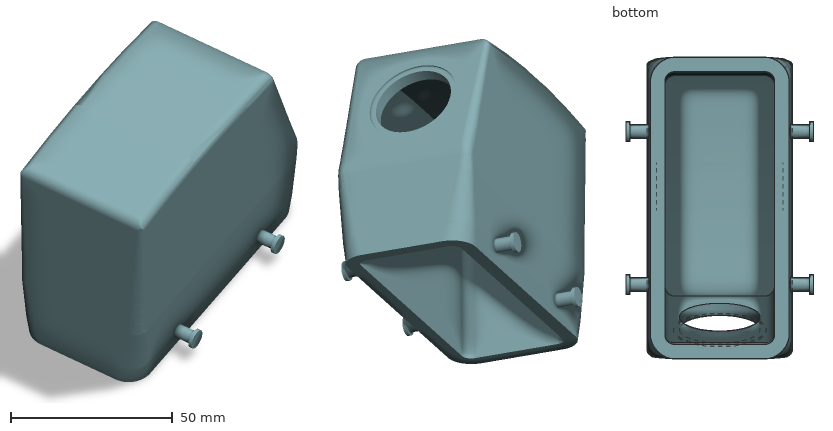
import cadquery as cq
import math


HALF_LENGTH = 46.65
END_DRAFT = 1.0
CROWN_TOP = 75.66
CROWN_RADIUS = 300.0
CROWN_Y = -6.5

RIM_Z = 0.0
SKIRT_Z = 6.7
WAIST_Z = 23.3
RIM_HALF_WIDTH = 21.45
SKIRT_HALF_WIDTH = 22.0
WAIST_HALF_WIDTH = 22.55
RIM_CORNER = 7.8
SKIRT_CORNER = 6.5
FRONT_WAIST_CORNER = 3.9
REAR_WAIST_CORNER = 3.6
KNEE_CORNER = 2.8
TOP_CORNER = 1.5

KNEE_Z = 30.5
SLOPE_ANGLE = 20.0
KNEE_RADIUS = 10.0
ROOF_RADIUS = 3.0
REAR_ROOF_RADIUS = 1.5

WALL = 4.5
CAVITY_CORNER = 3.0

ENTRY_Y = 37.95
ENTRY_DIAMETER = 25.0
RECESS_DIAMETER = 28.8
RECESS_DEPTH = 0.5

PEG_SPAN = 58.0
PEG_SPACING = 47.3
PEG_Z = 6.1
PEG_DIAMETER = 4.3
PEG_HEAD_DIAMETER = 6.2
PEG_HEAD_THICKNESS = 1.2

CORNER_STEPS = 20
MATCH_TOLERANCE = 0.01
SLOPE_TAN = math.tan(math.radians(SLOPE_ANGLE))
DIAGONAL = math.sqrt(0.5)


def half_length(z):
    """Half length in Y of the drafted hood at height z."""
    return HALF_LENGTH - z * math.tan(math.radians(END_DRAFT))


def slope_y(z):
    """Y of the sloped rear face at height z."""
    return half_length(KNEE_Z) - (z - KNEE_Z) * SLOPE_TAN


def crown_z(y, inset=0.0):
    """Height of the roof arch, or of an arch lying inset below it."""
    radius = CROWN_RADIUS - inset
    return CROWN_TOP - CROWN_RADIUS + math.sqrt(radius**2 - (y - CROWN_Y) ** 2)


def front_roof_corner(inset):
    """Y and Z where the front wall meets the roof arch."""
    z = CROWN_TOP
    for _ in range(CORNER_STEPS):
        y = inset - half_length(z)
        z = crown_z(y, inset)
    return y, z


def rear_roof_corner(inset):
    """Y and Z where the sloped face meets the roof arch."""
    normal_shift = inset / math.cos(math.radians(SLOPE_ANGLE))
    z = CROWN_TOP
    for _ in range(CORNER_STEPS):
        y = slope_y(z) - normal_shift
        z = crown_z(y, inset)
    return y, z


def side_profile(base_z, inset=0.0):
    """Closed Y-Z outline of the hood above base_z, moved inward by inset."""
    bend = math.radians(SLOPE_ANGLE - END_DRAFT)
    knee_z = KNEE_Z - inset * math.tan(bend / 2)
    return (
        cq.Workplane("YZ")
        .moveTo(inset - half_length(base_z), base_z)
        .lineTo(half_length(base_z) - inset, base_z)
        .lineTo(half_length(knee_z) - inset, knee_z)
        .lineTo(*rear_roof_corner(inset))
        .threePointArc((CROWN_Y, CROWN_TOP - inset), front_roof_corner(inset))
        .close()
    )


def starts_at_lower_end(maker, contour):
    """True when a fillet contour starts at its lower end."""
    first = cq.Vertex(maker.FirstVertex(contour))
    last = cq.Vertex(maker.LastVertex(contour))
    return first.Z < last.Z


def taper_corners(solid, edges, radii):
    """Round upright corner chains; radii has a (lower, upper) pair for each edge of a chain."""
    maker = cq.occ_impl.shapes.BRepFilletAPI_MakeFillet(solid.wrapped)
    for edge in edges:
        maker.Add(edge.wrapped)
    for contour in range(1, maker.NbContours() + 1):
        starts_low = starts_at_lower_end(maker, contour)
        ordered = radii if starts_low else [pair[::-1] for pair in reversed(radii)]
        for position, (first_radius, last_radius) in enumerate(ordered, start=1):
            maker.SetRadius(first_radius, last_radius, contour, position)
    return cq.Shape.cast(maker.Shape()).Solids()[0]


def waist_corners(solid, side):
    """Upright flank edges that rise from the waist at the front (side -1) or rear (side 1)."""
    return [
        edge
        for edge in solid.Edges()
        if abs(edge.BoundingBox().zmin - WAIST_Z) < MATCH_TOLERANCE
        and edge.BoundingBox().zlen > MATCH_TOLERANCE
        and edge.Center().y * side > 0
    ]


def rounded_corner_block():
    """Side outline extruded across the hood, with tapering rounds on its four upright corners."""
    block = side_profile(WAIST_Z).extrude(WAIST_HALF_WIDTH, both=True)
    knee = cq.selectors.NearestToPointSelector((0, half_length(KNEE_Z), KNEE_Z))
    solid = block.edges(knee).fillet(KNEE_RADIUS).val()
    front_radii = [(FRONT_WAIST_CORNER, TOP_CORNER)]
    rear_radii = [
        (REAR_WAIST_CORNER, KNEE_CORNER),
        (KNEE_CORNER, KNEE_CORNER),
        (KNEE_CORNER, TOP_CORNER),
    ]
    solid = taper_corners(solid, waist_corners(solid, -1), front_radii)
    solid = taper_corners(solid, waist_corners(solid, 1), rear_radii)
    return cq.Workplane(solid)


def rounded_roof_block():
    """Side outline extruded across the hood, with the edges of the roof rounded."""
    block = side_profile(WAIST_Z).extrude(WAIST_HALF_WIDTH, both=True)
    front_y, front_z = front_roof_corner(0)
    rear_y, rear_z = rear_roof_corner(0)
    front = cq.selectors.NearestToPointSelector((0, front_y, front_z))
    left = cq.selectors.NearestToPointSelector((-WAIST_HALF_WIDTH, CROWN_Y, CROWN_TOP))
    right = cq.selectors.NearestToPointSelector((WAIST_HALF_WIDTH, CROWN_Y, CROWN_TOP))
    rear = cq.selectors.NearestToPointSelector((0, rear_y, rear_z))
    block = block.edges(front + left + right).fillet(ROOF_RADIUS)
    return block.edges(rear).fillet(REAR_ROOF_RADIUS)


def upper_body():
    """Hood above the waist: straight flanks, arched roof and sloped rear face."""
    return rounded_corner_block().intersect(rounded_roof_block())


def rim_section(z, half_width, front_corner, rear_corner):
    """Wire of a rectangle at height z with round corners, sized separately front and rear."""
    y = half_length(z)
    corners = [
        (half_width, -y, front_corner),
        (half_width, y, rear_corner),
        (-half_width, y, rear_corner),
        (-half_width, -y, front_corner),
    ]
    edges = []
    for index, (corner_x, corner_y, radius) in enumerate(corners):
        along_x = cq.Vector(corner_x - math.copysign(radius, corner_x), corner_y, z)
        along_y = cq.Vector(corner_x, corner_y - math.copysign(radius, corner_y), z)
        center = cq.Vector(along_x.x, along_y.y, z)
        outward = cq.Vector(math.copysign(DIAGONAL, corner_x), math.copysign(DIAGONAL, corner_y), 0)
        start, end = (along_x, along_y) if index % 2 == 0 else (along_y, along_x)
        if edges:
            edges.append(cq.Edge.makeLine(edges[-1].endPoint(), start))
        edges.append(cq.Edge.makeThreePointArc(start, center + outward * radius, end))
    edges.append(cq.Edge.makeLine(edges[-1].endPoint(), edges[0].startPoint()))
    return cq.Wire.assembleEdges(edges)


def lower_body():
    """Hood below the waist, narrowing to the rim with growing corner rounds."""
    sections = [
        rim_section(RIM_Z, RIM_HALF_WIDTH, RIM_CORNER, RIM_CORNER),
        rim_section(SKIRT_Z, SKIRT_HALF_WIDTH, SKIRT_CORNER, SKIRT_CORNER),
        rim_section(WAIST_Z, WAIST_HALF_WIDTH, FRONT_WAIST_CORNER, REAR_WAIST_CORNER),
    ]
    return cq.Workplane(cq.Solid.makeLoft(sections, True))


def cavity():
    """Open-bottomed inner space, one wall thickness inside the hood."""
    half_width = RIM_HALF_WIDTH - WALL
    block = side_profile(RIM_Z, WALL).extrude(half_width, both=True)
    upright = block.edges("%LINE").edges("not |X").edges("not |Y")
    return upright.fillet(CAVITY_CORNER)


def entry_cutter():
    """Recess and through hole, square to the sloped face."""
    slope = math.radians(SLOPE_ANGLE)
    entry_z = KNEE_Z + (half_length(KNEE_Z) - ENTRY_Y) / SLOPE_TAN
    face = cq.Plane(
        origin=(0, ENTRY_Y, entry_z),
        xDir=(1, 0, 0),
        normal=(0, -math.cos(slope), -math.sin(slope)),
    )
    recess = cq.Workplane(face).circle(RECESS_DIAMETER / 2).extrude(RECESS_DEPTH)
    hole = cq.Workplane(face).circle(ENTRY_DIAMETER / 2).extrude(2 * WALL)
    return recess.union(hole)


def peg(side, y):
    """Headed locking peg on the left (side -1) or right (side 1) flank, rooted in the wall."""
    root_x = RIM_HALF_WIDTH - WALL / 2
    shank_length = PEG_SPAN / 2 - PEG_HEAD_THICKNESS - root_x
    flank = cq.Plane(origin=(side * root_x, y, PEG_Z), xDir=(0, 1, 0), normal=(side, 0, 0))
    shank = cq.Workplane(flank).circle(PEG_DIAMETER / 2).extrude(shank_length)
    head_base = cq.Workplane(flank).workplane(offset=shank_length)
    head = head_base.circle(PEG_HEAD_DIAMETER / 2).extrude(PEG_HEAD_THICKNESS)
    return shank.union(head)


hood = upper_body().union(lower_body())
hood = hood.cut(cavity())
hood = hood.cut(entry_cutter())
for side in (-1, 1):
    for y in (-PEG_SPACING / 2, PEG_SPACING / 2):
        hood = hood.union(peg(side, y))

result = cq.Workplane(hood.solids().val())